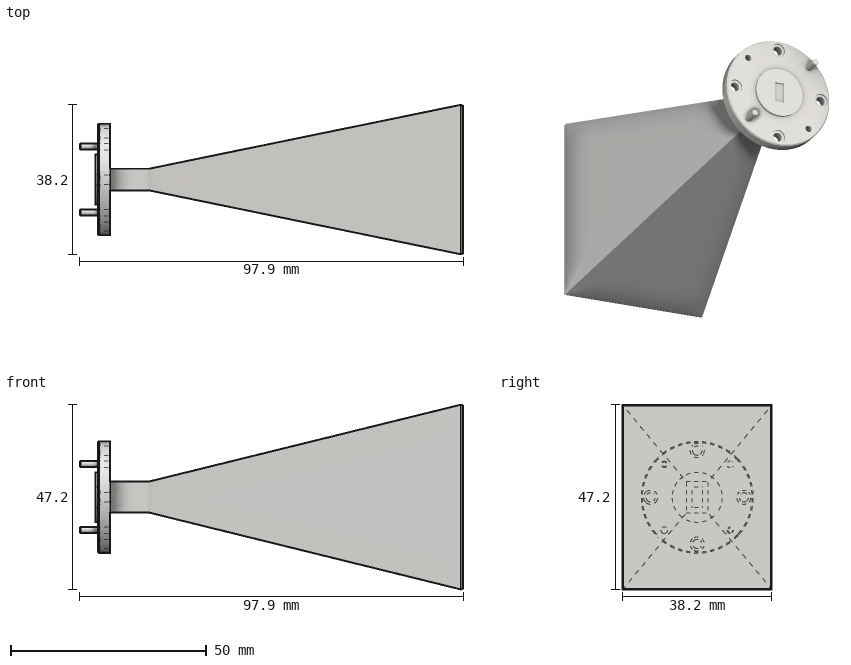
import cadquery as cq
import math

overall_length = 97.85

flange_diameter = 28.6
flange_thickness = 3.1
flange_chamfer = 0.3
boss_diameter = 12.8
boss_height = 0.7
flange_front = boss_height
flange_back = flange_front + flange_thickness

waveguide_width = 2.6
waveguide_height = 2 * waveguide_width
waveguide_depth = 0.5

bolt_circle_diameter = 23.8

screw_angles = (0, 90, 180, 270)
screw_hole_diameter = 2.35
counterbore_diameter = 3.6
counterbore_depth = 0.5

pin_diameter = 1.6
pin_chamfer = 0.2
pin_protrusion = 4.6
alignment_hole_diameter = 1.7
pin_angles = (135, 315)
alignment_hole_angles = (45, 225)

neck_width = 5.6
neck_height = 8.0
mouth_width = 38.22
mouth_height = 47.21
pin_tip = flange_front - pin_protrusion
mouth_front = pin_tip + overall_length
lip_length = 0.6
lip_inset = 0.25
flare_start = 13.8
flare_end = mouth_front - lip_length


def plane_at(x):
    """Plane facing +X at the given X, with local x along Y and local y along Z."""
    return cq.Workplane("YZ", origin=(x, 0, 0))


def cylinder(x_start, x_end, diameter):
    """Round bar on the X axis."""
    return plane_at(x_start).circle(diameter / 2).extrude(x_end - x_start)


def polar_cylinders(x_start, x_end, diameter, angles):
    """Round bars along X, one at each angle (degrees from +Y towards +Z) on the bolt circle."""
    radius = bolt_circle_diameter / 2
    centres = [(radius * math.cos(math.radians(a)), radius * math.sin(math.radians(a))) for a in angles]
    return plane_at(x_start).pushPoints(centres).circle(diameter / 2).extrude(x_end - x_start)


def frustum(x_start, x_end, start_size, end_size):
    """Solid that blends one centred rectangle into another along X."""
    return (
        plane_at(x_start)
        .rect(*start_size)
        .workplane(offset=x_end - x_start)
        .rect(*end_size)
        .loft(ruled=True)
    )


def make_flange():
    """Disc with a raised boss, a waveguide recess, screw holes, alignment holes and pin holes."""
    disc = cylinder(flange_front, flange_back, flange_diameter).faces("<X").edges().chamfer(flange_chamfer)
    boss = cylinder(0, flange_back, boss_diameter)
    waveguide = plane_at(0).rect(waveguide_width, waveguide_height).extrude(waveguide_depth)

    counterbore_floor = flange_front + counterbore_depth
    screw_holes = polar_cylinders(flange_front, flange_back, screw_hole_diameter, screw_angles)
    counterbores = polar_cylinders(flange_front, counterbore_floor, counterbore_diameter, screw_angles)
    alignment_holes = polar_cylinders(
        flange_front, flange_back, alignment_hole_diameter, alignment_hole_angles
    )
    pin_holes = polar_cylinders(flange_front, flange_back, pin_diameter, pin_angles)

    flange = disc.union(boss).cut(waveguide)
    for holes in (screw_holes, counterbores, alignment_holes, pin_holes):
        flange = flange.cut(holes)
    return flange


def make_horn():
    """Straight neck, pyramidal flare and a short lip that tapers back in at the mouth."""
    neck_size = (neck_width, neck_height)
    mouth_size = (mouth_width, mouth_height)
    lip_size = (mouth_width - 2 * lip_inset, mouth_height - 2 * lip_inset)
    neck = plane_at(flange_back).rect(*neck_size).extrude(flare_start - flange_back)
    flare = frustum(flare_start, flare_end, neck_size, mouth_size)
    lip = frustum(flare_end, mouth_front, mouth_size, lip_size)
    return neck.union(flare).union(lip)


def make_pins():
    """Dowel pins seated through the flange, chamfered at the free tip."""
    pins = polar_cylinders(pin_tip, flange_back, pin_diameter, pin_angles)
    return pins.faces("<X").edges().chamfer(pin_chamfer)


housing = make_flange().union(make_horn())
pins = make_pins()

result = cq.Compound.makeCompound([housing.val(), *pins.vals()])